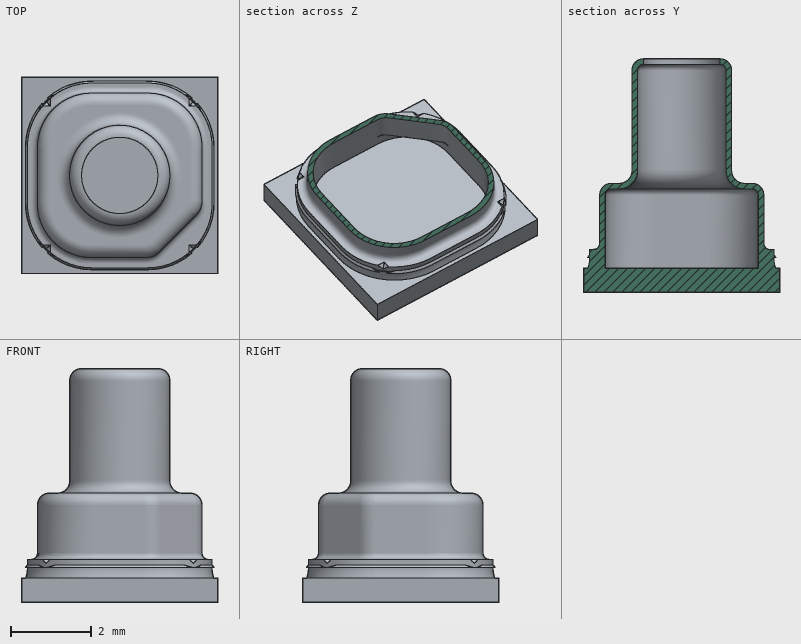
import cadquery as cq
import math

plate_side = 4.89
plate_height = 0.6

wall = 0.15
straight_half = 0.7
body_half = 2.05
cut_corner_radius = 0.5
body_top = 2.72
outer_round = 0.3
foot_fillet = wall
flange_half = 2.3
flange_top = 1.07
flange_height = 0.2
flange_bottom = flange_top - flange_height
tube_radius = 1.25
total_height = 5.82

inner_half = body_half - wall
inner_round = outer_round - wall
bore_radius = tube_radius - wall
mouth_radius = tube_radius - outer_round

ring_straight_half = 0.65
ring_neck_half = 2.3
ring_foot_half = 2.345
flare_top = 0.815
flare_bow = 0.008

lip_half = 2.35
lip_height = 0.06
lip_gap_top = 0.6
lip_gap_bottom = 0.2

notch_inset = 1.73
notch_depth = 0.1
notch_side = 0.4
notch_slope = 45
ORIGIN = (0, 0, 0)
UP = (0, 0, 1)


def cut_at_corners(solid, cutter):
    """Cut the solid with four copies of the cutter, a quarter turn apart."""
    for quarter_turn in range(4):
        solid = solid.cut(cutter.rotate(ORIGIN, UP, 90 * quarter_turn))
    return solid


def rounded_square(half, corner_radius, bottom, top):
    """Square prism between two heights with rounded upright edges."""
    side = 2 * half
    block = cq.Workplane("XY").workplane(offset=bottom).rect(side, side).extrude(top - bottom)
    return block.edges("|Z").fillet(corner_radius)


def body_block(half, bottom, top):
    """Rounded square prism with its (+X, -Y) corner cut at 45 degrees."""
    corner_radius = half - straight_half
    end_radius = cut_corner_radius - (body_half - half)
    cut_end = half * (math.sqrt(2) - 1)
    block = (
        cq.Workplane("XY")
        .workplane(offset=bottom)
        .moveTo(-half, -half)
        .lineTo(cut_end, -half)
        .lineTo(half, -cut_end)
        .lineTo(half, half)
        .lineTo(-half, half)
        .close()
        .extrude(top - bottom)
    )
    block = block.edges("|Z").edges("<X or >Y").fillet(corner_radius)
    for x, y in ((cut_end, -half), (half, -cut_end)):
        middle = (x, y, (bottom + top) / 2)
        block = block.edges(cq.selectors.NearestToPointSelector(middle)).fillet(end_radius)
    return block


def cylinder(radius, bottom, top):
    return cq.Workplane("XY").workplane(offset=bottom).circle(radius).extrude(top - bottom)


def edges_within(solid, half, height):
    """Select the edges at the given height that stay within a square around the axis."""
    margin = 0.01
    reach = half + margin
    low = (-reach, -reach, height - margin)
    high = (reach, reach, height + margin)
    return solid.edges(cq.selectors.BoxSelector(low, high, boundingbox=True))


def make_lid():
    """Outside shape of the flange, body and port tube."""
    flange = rounded_square(flange_half, flange_half - straight_half, flange_bottom, flange_top)
    body = body_block(body_half, flange_bottom, body_top).faces(">Z").edges().fillet(outer_round)
    foot = flange.union(body)
    tube = cylinder(tube_radius, flange_top, total_height)
    lid = foot.union(tube)
    lid = edges_within(lid, tube_radius, body_top).fillet(outer_round)
    lid = lid.faces(">Z").edges().fillet(outer_round)
    return edges_within(lid, body_half, flange_top).fillet(foot_fillet)


def make_cavity():
    """Inside of the lid, from the plate up through the open mouth of the port."""
    ceiling = body_top - wall
    body = body_block(inner_half, plate_height, ceiling).faces(">Z").edges().fillet(inner_round)
    bore_top = total_height - wall
    cavity = body.union(cylinder(bore_radius, plate_height, bore_top))
    cavity = edges_within(cavity, bore_radius, ceiling).fillet(outer_round + wall)
    cavity = cavity.faces(">Z").edges().fillet(inner_round)
    return cavity.union(cylinder(mouth_radius, plate_height, total_height))


def make_ring():
    """Sweep the ring section around the rounded square at its neck."""
    path = (
        rounded_square(ring_neck_half, ring_neck_half - ring_straight_half, plate_height, flange_bottom)
        .faces("<Z")
        .wires()
    )
    flare_middle = (ring_foot_half + ring_neck_half) / 2 - flare_bow
    section = (
        cq.Workplane("XZ")
        .moveTo(inner_half, plate_height)
        .lineTo(ring_foot_half, plate_height)
        .threePointArc((flare_middle, (plate_height + flare_top) / 2), (ring_neck_half, flare_top))
        .lineTo(ring_neck_half, flange_bottom)
        .lineTo(inner_half, flange_bottom)
        .close()
    )
    return section.sweep(path, transition="right")


def make_lip():
    """Lip that tapers upward into the flange wall, with its four corner gaps cut."""
    side = 2 * lip_half
    outline = cq.Sketch().rect(side, side).vertices().fillet(lip_half - straight_half)
    slope = math.degrees(math.atan2(lip_half - flange_half, lip_height))
    lip = (
        cq.Workplane("XY")
        .workplane(offset=flange_bottom)
        .placeSketch(outline)
        .extrude(lip_height, taper=slope)
    )
    lip_top = flange_bottom + lip_height
    gap = (
        cq.Workplane("YZ")
        .moveTo(-lip_gap_bottom / 2, flange_bottom)
        .lineTo(lip_gap_bottom / 2, flange_bottom)
        .lineTo(lip_gap_top / 2, lip_top)
        .lineTo(-lip_gap_top / 2, lip_top)
        .close()
        .extrude(lip_half * math.sqrt(2))
    )
    return cut_at_corners(lip, gap.rotate(ORIGIN, UP, 45))


def make_notch():
    """Cutter for the (+X, +Y) flange corner, its inner sides sloping outward as it deepens."""
    centre = notch_inset + notch_side / 2
    return (
        cq.Workplane("XY")
        .workplane(offset=flange_top)
        .center(centre, centre)
        .rect(notch_side, notch_side)
        .extrude(-notch_depth, taper=notch_slope)
    )


plate = cq.Workplane("XY").rect(plate_side, plate_side).extrude(plate_height)
cap = make_lid().union(make_ring()).union(make_lip()).cut(make_cavity())
cap = cut_at_corners(cap, make_notch())
result = plate.union(cap)